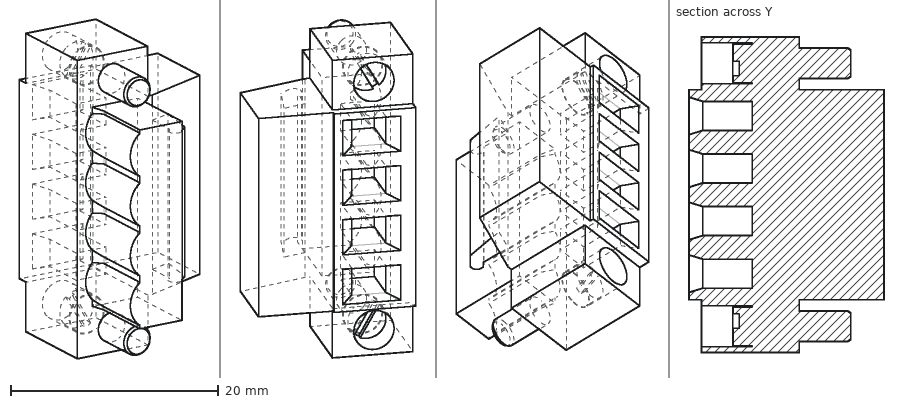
import cadquery as cq

way_count = 4
overall_height = 30.48
pitch = overall_height / (way_count + 2)
block_height = way_count * pitch
screw_offset = (way_count + 1) / 2 * pitch
way_positions = [(index - (way_count - 1) / 2) * pitch for index in range(way_count)]

body_back = 10.67
flange_front = 1.2
flange_width = 8.0
entry_face_width = 8.1
upper_front = 0.4
overall_width = 15.5
slope_start = 8.1
slope_end_width = 8.5

plug_end = 18.85
plug_low = 0.95
plug_high = 6.83
web_low = 2.05
web_low_at_body = 1.68
web_slope_end = 12.2
barrel_chord = 4.42

entry_centre = 4.35
mouth_width = 5.75
mouth_height = 3.6
throat_width = 3.38
throat_height = 2.77
funnel_depth = 1.35
entry_depth = 6.1

screw_centre = 3.87
bore_diameter = 4.0
head_diameter = 3.8
head_recess = 3.05
head_length = 1.83
shank_diameter = 3.0
shank_end = 15.65
tip_diameter = 2.6
tip_length = 0.3
slot_width = 0.67
slot_depth = 0.6
slot_angle = 30.0

latch_height = 3 * pitch
latch_root_x = 9.8
latch_root_y = 10.8
latch_bend = (14.15, 10.05)
latch_nose_top = (15.12, 9.0)
latch_nose_middle = (15.15, 8.4)
latch_nose_bottom = (14.63, 8.02)
latch_hook_flat = (14.3, 8.02)
latch_hook_start = (13.78, slope_end_width)


def prism(points, height):
    """Extrude an XY outline symmetrically about Z = 0."""
    return cq.Workplane("XY").polyline(points).close().extrude(height / 2, both=True)


def along_x(start, y, z):
    """Workplane facing +X with local axes along Y and Z."""
    return cq.Workplane("YZ", origin=(start, y, z))


def housing():
    block = prism(
        [
            (0, 0),
            (0, entry_face_width),
            (upper_front, entry_face_width),
            (upper_front, overall_width),
            (slope_start, overall_width),
            (body_back, slope_end_width),
            (body_back, 0),
        ],
        block_height,
    )
    flange = prism(
        [
            (flange_front, 0),
            (flange_front, flange_width),
            (body_back, flange_width),
            (body_back, 0),
        ],
        overall_height,
    )
    return block.union(flange)


def contact_plug():
    plug = prism(
        [
            (body_back, web_low_at_body),
            (body_back, plug_high),
            (plug_end, plug_high),
            (plug_end, web_low),
            (web_slope_end, web_low),
        ],
        block_height,
    )
    half_chord = barrel_chord / 2
    for z in way_positions:
        barrel = (
            along_x(body_back, 0, z)
            .moveTo(plug_high, -half_chord)
            .lineTo(web_low, -half_chord)
            .threePointArc((plug_low, 0), (web_low, half_chord))
            .lineTo(plug_high, half_chord)
            .close()
            .extrude(plug_end - body_back)
        )
        plug = plug.union(barrel)
    return plug


def latch():
    return (
        cq.Workplane("XY")
        .moveTo(slope_start, slope_end_width)
        .lineTo(slope_start, latch_root_y)
        .lineTo(latch_root_x, latch_root_y)
        .lineTo(*latch_bend)
        .lineTo(*latch_nose_top)
        .threePointArc(latch_nose_middle, latch_nose_bottom)
        .lineTo(*latch_hook_flat)
        .lineTo(*latch_hook_start)
        .close()
        .extrude(latch_height / 2, both=True)
    )


def wire_entry(z):
    """Tapered funnel that continues as a straight rectangular pocket."""
    funnel = (
        along_x(0, entry_centre, z)
        .rect(mouth_width, mouth_height)
        .workplane(offset=funnel_depth)
        .rect(throat_width, throat_height)
        .loft(ruled=True)
    )
    throat = (
        along_x(funnel_depth, entry_centre, z)
        .rect(throat_width, throat_height)
        .extrude(entry_depth - funnel_depth)
    )
    return funnel.union(throat)


def screw_bore(z):
    depth = head_recess + head_length
    return along_x(flange_front, screw_centre, z).circle(bore_diameter / 2).extrude(depth)


def fixing_screw(z, angle):
    """Slotted screw sunk in its bore, with a chamfered shank tip."""
    head_front = flange_front + head_recess
    head_back = head_front + head_length
    head = along_x(head_front, screw_centre, z).circle(head_diameter / 2).extrude(head_length)
    slot = (
        along_x(head_front, screw_centre, z)
        .transformed(rotate=(0, 0, angle))
        .rect(slot_width, bore_diameter)
        .extrude(slot_depth)
    )
    shank = along_x(head_back, screw_centre, z).circle(shank_diameter / 2).extrude(shank_end - head_back)
    tip_inset = (shank_diameter - tip_diameter) / 2
    shank = shank.faces(">X").edges().chamfer(tip_length, tip_inset)
    return head.cut(slot).union(shank)


result = housing().union(contact_plug()).union(latch())
for way_z in way_positions:
    result = result.cut(wire_entry(way_z))
for side in (-1, 1):
    result = result.cut(screw_bore(side * screw_offset))
    result = result.union(fixing_screw(side * screw_offset, -side * slot_angle))